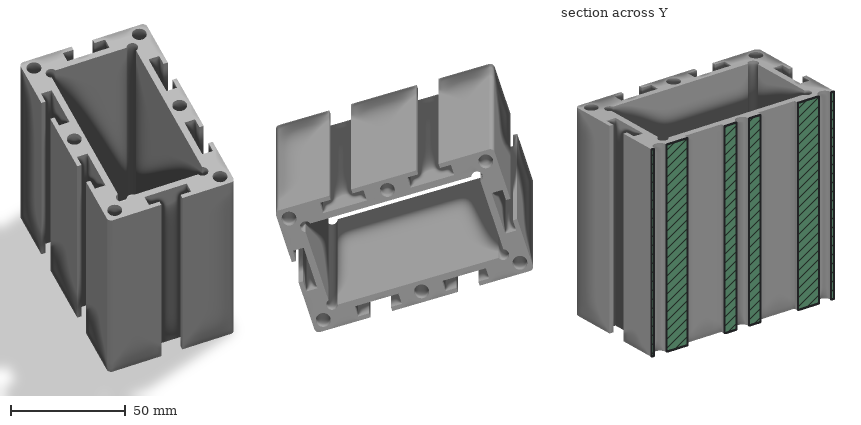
import cadquery as cq

width = 100
depth = 60
height = 100
corner_radius = 2

wall = 10
cavity_width = width - 2 * wall
cavity_depth = depth - 2 * wall
relief_radius = 2.5
relief_inset = 0.8

slot_mouth = 10
slot_width = 20
slot_depth = 7
lip_thickness = 2
slot_spacing = 40

hole_diameter = 6.5
hole_edge_distance = 5


def t_slot(face_distance, offset, angle):
    """T-slot in the -Y face, shifted along that face, then turned about Z."""
    bottom_y = slot_depth - face_distance
    lip_y = lip_thickness - face_distance
    mouth = cq.Workplane("XY").box(slot_mouth, slot_depth, height, centered=(True, False, False))
    mouth = mouth.translate((offset, -face_distance, 0))
    channel = cq.Workplane("XY").box(slot_width, bottom_y - lip_y, height, centered=(True, False, False))
    channel = channel.translate((offset, lip_y, 0))
    return mouth.union(channel).rotate((0, 0, 0), (0, 0, 1), angle)


def cylinders(points, diameter):
    """Full-height round cutters at the given points."""
    return cq.Workplane("XY").pushPoints(points).circle(diameter / 2).extrude(height)


result = cq.Workplane("XY").box(width, depth, height, centered=(True, True, False))
result = result.edges("|Z").fillet(corner_radius)

result = result.cut(cq.Workplane("XY").rect(cavity_width, cavity_depth).extrude(height))
relief_x = cavity_width / 2 - relief_inset
relief_y = cavity_depth / 2 - relief_inset
relief_points = [(x, y) for x in (-relief_x, relief_x) for y in (-relief_y, relief_y)]
result = result.cut(cylinders(relief_points, 2 * relief_radius))

for angle in (0, 180):
    for offset in (-slot_spacing / 2, slot_spacing / 2):
        result = result.cut(t_slot(depth / 2, offset, angle))
for angle in (90, 270):
    result = result.cut(t_slot(width / 2, 0, angle))

hole_x = width / 2 - hole_edge_distance
hole_y = depth / 2 - hole_edge_distance
hole_points = [(x, y) for x in (-hole_x, 0, hole_x) for y in (-hole_y, hole_y)]
result = result.cut(cylinders(hole_points, hole_diameter))